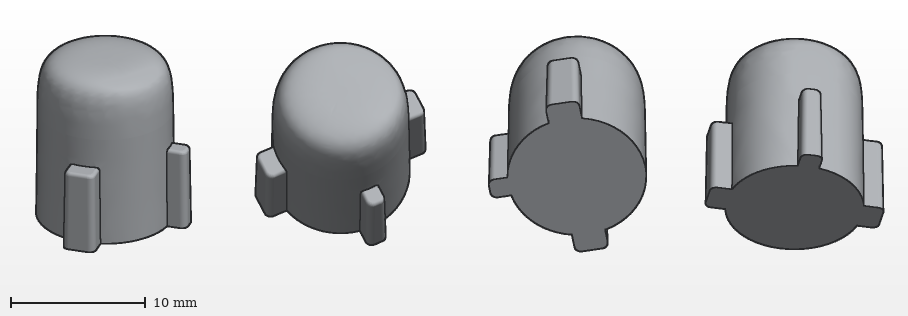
import cadquery as cq
import math

total_height = 13.1
dome_start_height = 8.65
base_radius = 5.16
dome_start_radius = 5.07
crown_radius = 0.56
crown_pull_radius = 4.72
wall_pull_height = 12.77

rib_height = 6.34
rib_reach = 6.59
rib_root = 2.62
wide_rib_width = 2.52
narrow_rib_width = 1.62
rib_corner_radius = 0.5
rib_top_fillet = 0.26
rib_draft = 0.8
wide_rib_angles = (135, -45)
narrow_rib_angle = 45


def make_body():
    """Revolve the post and dome profile about the Z axis."""
    wall_slope = (base_radius - dome_start_radius) / dome_start_height
    wall_pull_radius = dome_start_radius - wall_slope * (wall_pull_height - dome_start_height)
    profile = (
        cq.Workplane("XZ")
        .lineTo(base_radius, 0)
        .lineTo(dome_start_radius, dome_start_height)
        .bezier([
            (dome_start_radius, dome_start_height),
            (wall_pull_radius, wall_pull_height),
            (crown_pull_radius, total_height),
            (crown_radius, total_height),
        ])
        .lineTo(0, total_height)
        .close()
    )
    return profile.revolve(360, (0, 0), (0, 1))


def make_rib(width, angle):
    """Build one drafted rib along X, round its edges and turn it to its angle."""
    length = rib_reach - rib_root
    top_shrink = rib_height * math.tan(math.radians(rib_draft))
    rib = (
        cq.Workplane("XY")
        .center(rib_root + length / 2, 0)
        .rect(length, width)
        .workplane(offset=rib_height)
        .rect(length - 2 * top_shrink, width - 2 * top_shrink)
        .loft(ruled=True)
    )
    upright_edges = rib.faces(">X").edges("not #Z")
    rib = upright_edges.fillet(rib_corner_radius)
    rib = rib.faces(">Z").edges().fillet(rib_top_fillet)
    return rib.rotate((0, 0, 0), (0, 0, 1), angle)


result = make_body()
for rib_angle in wide_rib_angles:
    result = result.union(make_rib(wide_rib_width, rib_angle))
result = result.union(make_rib(narrow_rib_width, narrow_rib_angle))